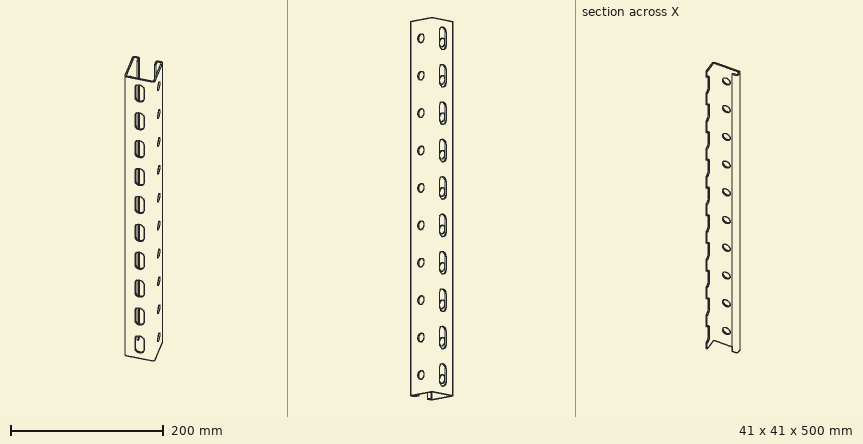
import cadquery as cq

length = 500.0
width = 41.0
depth = 41.0

sheet = 2.0
inner_bend_radius = 1.0
outer_bend_radius = inner_bend_radius + sheet
mouth_width = 22.0
lip_depth = 8.0

pitch = 50.0
slot_width = 12.5
slot_length = 30.0
hole_diameter = 11.5

pitch_count = round(length / pitch)
pitch_heights = [(i - (pitch_count - 1) / 2) * pitch for i in range(pitch_count)]


def mirrored(points):
    """Reflect points across the middle plane X = 0, in reverse order."""
    return [(-x, y) for x, y in reversed(points)]


def round_folds(body, corners, radius):
    """Fillet the full-length edges that stand on the given corners."""
    for x, y in corners:
        body = body.edges(cq.NearestToPointSelector((x, y, 0))).fillet(radius)
    return body


def make_channel():
    """C channel: back on -Y, mouth with inward-turned lips on +Y."""
    outer_x, outer_y = width / 2, depth / 2
    inner_x, inner_y = outer_x - sheet, outer_y - sheet
    lip_x = mouth_width / 2
    lip_end_y = outer_y - lip_depth

    outer_corners = [(outer_x, -outer_y), (outer_x, outer_y), (lip_x, outer_y)]
    inner_corners = [(inner_x, -inner_y), (inner_x, inner_y), (lip_x + sheet, inner_y)]
    lip_end = [(lip_x, lip_end_y), (lip_x + sheet, lip_end_y)]

    half_outline = outer_corners + lip_end + inner_corners[::-1]
    outline = half_outline + mirrored(half_outline)
    body = cq.Workplane("XY").workplane(offset=-length / 2).polyline(outline).close().extrude(length)

    body = round_folds(body, outer_corners + mirrored(outer_corners), outer_bend_radius)
    return round_folds(body, inner_corners + mirrored(inner_corners), inner_bend_radius)


def make_back_slots():
    """Column of upright slots that pass through the back only."""
    return (
        cq.Workplane("XZ")
        .pushPoints([(0, z) for z in pitch_heights])
        .slot2D(slot_length, slot_width, 90)
        .extrude(depth)
    )


def make_side_holes():
    """Column of round holes that pass through both side walls."""
    return (
        cq.Workplane("YZ")
        .pushPoints([(0, z) for z in pitch_heights])
        .circle(hole_diameter / 2)
        .extrude(width, both=True)
    )


result = make_channel().cut(make_back_slots()).cut(make_side_holes())